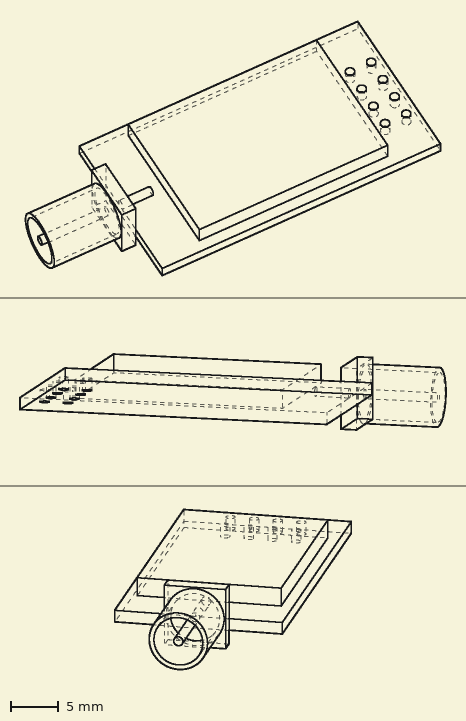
import cadquery as cq

board_width = 18.0
board_length = 33.3
board_thickness = 1.3

shield_width = 15.45
shield_length = 22.5
shield_height = 1.98
shield_front_gap = 5.15

hole_diameter = 1.0
hole_pitch = 2.55
hole_columns = 4
hole_rows = 2
rear_row_inset = 1.3
hole_group_offset = 0.1

total_length = 42.95
flange_size = 6.55
flange_thickness = 1.68
barrel_diameter = 6.25
bore_diameter = 5.25
pin_diameter = 1.0
pin_tail_length = 3.65
connector_reach = total_length - board_length
barrel_length = connector_reach - flange_thickness
pin_axis_height = pin_diameter / 2


def make_board():
    """Board with its shield block and through holes for the header."""
    board = cq.Workplane("XY").box(
        board_width, board_length, board_thickness, centered=(True, False, False)
    ).translate((0, 0, -board_thickness))
    shield = cq.Workplane("XY").box(
        shield_width, shield_length, shield_height, centered=(True, False, False)
    ).translate((0, shield_front_gap, 0))
    group_center_y = board_length - rear_row_inset - (hole_rows - 1) * hole_pitch / 2
    holes = (
        cq.Workplane("XY")
        .center(hole_group_offset, group_center_y)
        .rarray(hole_pitch, hole_pitch, hole_columns, hole_rows)
        .circle(hole_diameter / 2)
        .extrude(-board_thickness)
    )
    return board.union(shield).cut(holes)


def cylinder_toward_front(diameter, start_y, length):
    """Cylinder on the connector axis, running from start_y toward -Y."""
    return (
        cq.Workplane("XZ", origin=(0, start_y, pin_axis_height))
        .circle(diameter / 2)
        .extrude(length)
    )


def make_connector():
    """Square flange, hollow barrel and centre pin in one solid."""
    flange = (
        cq.Workplane("XZ", origin=(0, 0, pin_axis_height))
        .rect(flange_size, flange_size)
        .extrude(flange_thickness)
    )
    barrel = cylinder_toward_front(barrel_diameter, -flange_thickness, barrel_length)
    bore = cylinder_toward_front(bore_diameter, -flange_thickness, barrel_length)
    pin = cylinder_toward_front(pin_diameter, pin_tail_length, pin_tail_length + connector_reach)
    return flange.union(barrel).cut(bore).union(pin)


board = make_board()
connector = make_connector()

result = cq.Compound.makeCompound([board.solids().val(), connector.solids().val()])